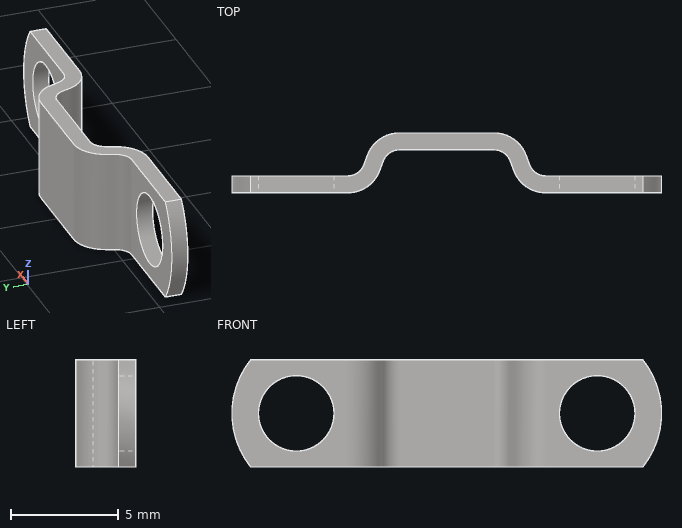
import cadquery as cq
import math

LENGTH = 20.0
WIDTH = 5.0
THICKNESS = 0.8
HEIGHT = 2.8
END_RADIUS = 4.0

CREST_HALF_LENGTH = 2.2
BEND_ANGLE = 70.0
INNER_BEND = 0.8
OUTER_BEND = INNER_BEND + THICKNESS

HOLE_DIAMETER = 3.5
HOLE_SPACING = 14.0

bend_angle = math.radians(BEND_ANGLE)
bend_radii = INNER_BEND + OUTER_BEND
bend_drop = bend_radii * (1 - math.cos(bend_angle))
web_length = (HEIGHT - THICKNESS - bend_drop) / math.sin(bend_angle)
bend_run = bend_radii * math.sin(bend_angle) + web_length * math.cos(bend_angle)

CREST_CENTER = (CREST_HALF_LENGTH, HEIGHT - OUTER_BEND)
FOOT_CENTER = (CREST_HALF_LENGTH + bend_run, OUTER_BEND)


def bend_point(center, radius, angle):
    """Point on a bend, with the angle measured from +Y toward +X."""
    return (center[0] + radius * math.sin(angle), center[1] + radius * math.cos(angle))


def crest_bend(radius, angle):
    return bend_point(CREST_CENTER, radius, angle)


def foot_bend(radius, angle):
    return bend_point(FOOT_CENTER, radius, angle + math.pi)


def make_half_strip():
    """Bent strip from the middle of the crest to the +X end."""
    end = LENGTH / 2
    half_angle = bend_angle / 2
    profile = (
        cq.Workplane("XY")
        .moveTo(0, HEIGHT)
        .lineTo(*crest_bend(OUTER_BEND, 0))
        .threePointArc(crest_bend(OUTER_BEND, half_angle), crest_bend(OUTER_BEND, bend_angle))
        .lineTo(*foot_bend(INNER_BEND, bend_angle))
        .threePointArc(foot_bend(INNER_BEND, half_angle), foot_bend(INNER_BEND, 0))
        .lineTo(end, THICKNESS)
        .lineTo(end, 0)
        .lineTo(*foot_bend(OUTER_BEND, 0))
        .threePointArc(foot_bend(OUTER_BEND, half_angle), foot_bend(OUTER_BEND, bend_angle))
        .lineTo(*crest_bend(INNER_BEND, bend_angle))
        .threePointArc(crest_bend(INNER_BEND, half_angle), crest_bend(INNER_BEND, 0))
        .lineTo(0, HEIGHT - THICKNESS)
        .close()
    )
    return profile.extrude(WIDTH / 2, both=True)


def make_outline():
    """Strip outline in XZ with rounded ends, extruded through the full height."""
    end = LENGTH / 2
    half_width = WIDTH / 2
    end_sagitta = END_RADIUS - math.sqrt(END_RADIUS**2 - half_width**2)
    corner = end - end_sagitta
    return (
        cq.Workplane("XZ")
        .moveTo(-corner, -half_width)
        .lineTo(corner, -half_width)
        .threePointArc((end, 0), (corner, half_width))
        .lineTo(-corner, half_width)
        .threePointArc((-end, 0), (-corner, -half_width))
        .close()
        .extrude(-HEIGHT)
    )


def make_holes():
    return (
        cq.Workplane("XZ")
        .pushPoints([(side * HOLE_SPACING / 2, 0) for side in (-1, 1)])
        .circle(HOLE_DIAMETER / 2)
        .extrude(-THICKNESS)
    )


half_strip = make_half_strip()
strip = half_strip.union(half_strip.mirror("YZ"))
result = strip.intersect(make_outline()).cut(make_holes())